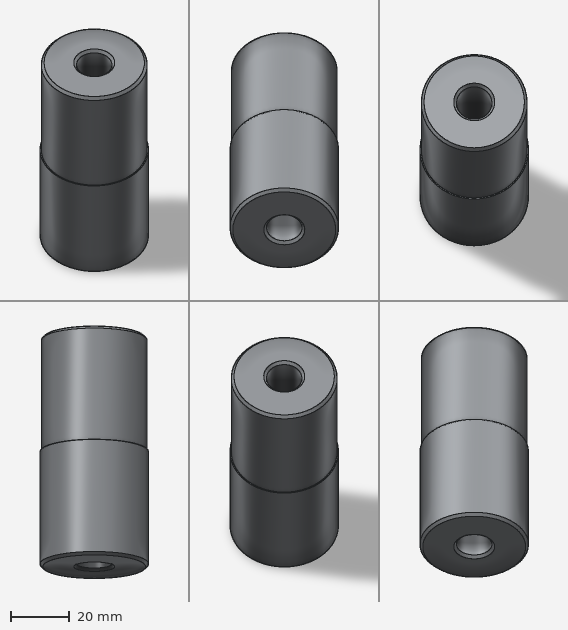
import cadquery as cq

total_height = 80.2
lower_height = 40.3
lower_diameter = 37.0
upper_diameter = 36.1
bore_diameter = 12.0
edge_chamfer = 1.0

upper_height = total_height - lower_height

lower_body = (
    cq.Workplane("XY")
    .circle(lower_diameter / 2)
    .extrude(lower_height)
    .faces("<Z")
    .chamfer(edge_chamfer)
)

upper_body = (
    cq.Workplane("XY")
    .workplane(offset=lower_height)
    .circle(upper_diameter / 2)
    .extrude(upper_height)
    .faces(">Z")
    .chamfer(edge_chamfer)
)

bore = cq.Workplane("XY").circle(bore_diameter / 2).extrude(total_height)
mouth_edges = cq.selectors.RadiusNthSelector(0)

result = lower_body.union(upper_body).cut(bore)
result = result.faces("<Z or >Z").edges(mouth_edges).chamfer(edge_chamfer)